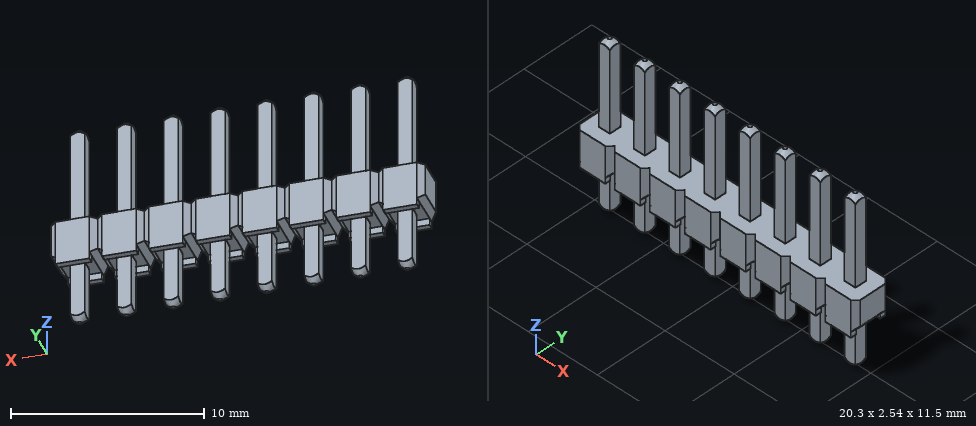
import cadquery as cq
import math

PIN_COUNT = 8
STRIP_LENGTH = 20.32
PITCH = STRIP_LENGTH / PIN_COUNT

CELL_SIZE = PITCH
BEVEL = 0.35
FOOT_HEIGHT = 0.39
FOOT_THICKNESS = 0.39

PIN_WIDTH = 0.8
PIN_ABOVE_STRIP = 6.0
PIN_BELOW_STRIP = 3.0
TIP_FLAT_RADIUS = 0.12
TIP_HEIGHT = 0.39


def make_cell():
    """Octagonal cell whose lower ends are bevelled back to narrower feet."""
    octagon = (
        cq.Workplane("XY")
        .rect(CELL_SIZE, CELL_SIZE)
        .extrude(CELL_SIZE)
        .edges("|Z")
        .chamfer(BEVEL)
    )
    half_cell = CELL_SIZE / 2
    half_foot = half_cell - BEVEL
    side_profile = (
        cq.Workplane("XZ")
        .polyline([
            (-half_foot, 0),
            (half_foot, 0),
            (half_foot, FOOT_HEIGHT),
            (half_cell, FOOT_HEIGHT + BEVEL),
            (half_cell, CELL_SIZE),
            (-half_cell, CELL_SIZE),
            (-half_cell, FOOT_HEIGHT + BEVEL),
            (-half_foot, FOOT_HEIGHT),
        ])
        .close()
        .extrude(half_cell, both=True)
    )
    channel = cq.Workplane("XY").box(
        CELL_SIZE,
        CELL_SIZE - 2 * FOOT_THICKNESS,
        FOOT_HEIGHT,
        centered=(True, True, False),
    )
    return octagon.intersect(side_profile).cut(channel)


def make_pin():
    """Square pin with both ends turned to blunt cones."""
    bottom = -PIN_BELOW_STRIP
    top = CELL_SIZE + PIN_ABOVE_STRIP
    corner_radius = PIN_WIDTH / math.sqrt(2)
    square_bar = (
        cq.Workplane("XY", origin=(0, 0, bottom))
        .rect(PIN_WIDTH, PIN_WIDTH)
        .extrude(top - bottom)
    )
    turned_envelope = (
        cq.Workplane("XZ")
        .polyline([
            (0, bottom),
            (TIP_FLAT_RADIUS, bottom),
            (corner_radius, bottom + TIP_HEIGHT),
            (corner_radius, top - TIP_HEIGHT),
            (TIP_FLAT_RADIUS, top),
            (0, top),
        ])
        .close()
        .revolve(360, (0, 0, 0), (0, 1, 0))
    )
    return square_bar.intersect(turned_envelope)


position = make_cell().union(make_pin())
first_x = -(PIN_COUNT - 1) * PITCH / 2

result = position.translate((first_x, 0, 0))
for index in range(1, PIN_COUNT):
    result = result.union(position.translate((first_x + index * PITCH, 0, 0)))
result = result.clean()